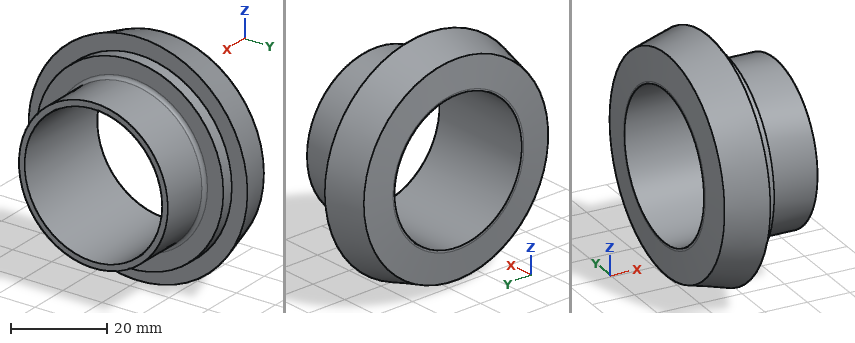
import cadquery as cq
import math

total_length = 26.0
flange_end = 10.1
collar_end = 13.1

flange_radius = 28.0
collar_radius = 48.0 / 2
hub_radius = 38.1 / 2
bore_radius = 35.1 / 2

face_slope = math.radians(5)
face_rim_radius = 25.5
land_width = 0.5
root_fillet = 0.85

land_radius = bore_radius + land_width
face_rim_x = (face_rim_radius - land_radius) * math.tan(face_slope)

root_offset = root_fillet * (1 - math.sqrt(0.5))
root_mid = (collar_end + root_offset, hub_radius + root_offset)

result = (
    cq.Workplane("XY")
    .moveTo(0, bore_radius)
    .lineTo(0, land_radius)
    .lineTo(face_rim_x, face_rim_radius)
    .lineTo(flange_end, flange_radius)
    .lineTo(flange_end, collar_radius)
    .lineTo(collar_end, collar_radius)
    .lineTo(collar_end, hub_radius + root_fillet)
    .threePointArc(root_mid, (collar_end + root_fillet, hub_radius))
    .lineTo(total_length, hub_radius)
    .lineTo(total_length, bore_radius)
    .close()
    .revolve(360, (0, 0, 0), (1, 0, 0))
)